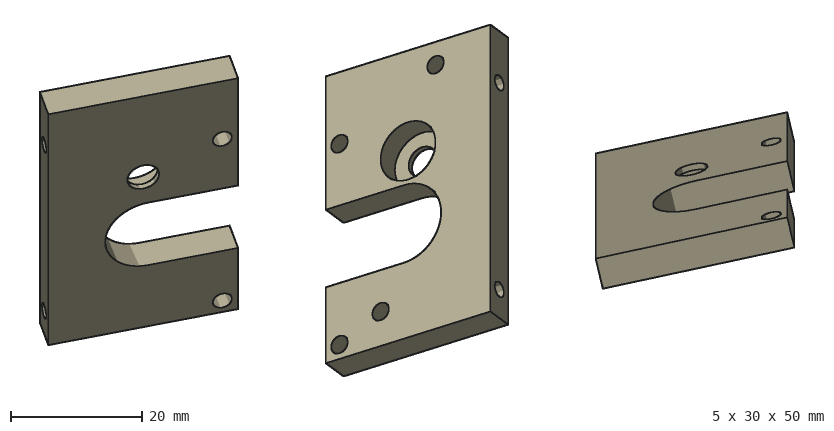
import cadquery as cq

thickness = 5.0
width = 30.0
height = 50.0
front_face_x = -thickness / 2
edge_face_y = -width / 2

slot_width = 13.5
slot_radius = slot_width / 2
slot_z = -5.0
slot_bottom_y = -6.0
slot_center_y = slot_bottom_y + slot_radius

bore_y = 0.0
bore_z = 7.5
bore_diameter = 5.0
counterbore_diameter = 10.0
counterbore_depth = 4.0

face_hole_diameter = 3.0
through_hole_centers = [(12.5, 12.5), (12.5, -22.5)]
blind_hole_centers = [(-5.0, 21.0), (5.0, -19.0)]
blind_hole_depth = 4.0

edge_hole_diameter = 2.5
edge_hole_heights = [16.0, -20.0]
edge_hole_depth = 8.0


def face_hole(y, z, diameter, depth):
    """Cylinder running in +X from the front face."""
    return cq.Workplane(
        cq.Solid.makeCylinder(
            diameter / 2, depth, cq.Vector(front_face_x, y, z), cq.Vector(1, 0, 0)
        )
    )


def edge_hole(z):
    """Cylinder running in +Y from the -Y edge."""
    return cq.Workplane(
        cq.Solid.makeCylinder(
            edge_hole_diameter / 2, edge_hole_depth, cq.Vector(0, edge_face_y, z), cq.Vector(0, 1, 0)
        )
    )


def slot():
    """U-shaped cutter from the +Y edge through the full thickness."""
    open_end_y = width / 2
    return (
        cq.Workplane("YZ", origin=(front_face_x, 0, 0))
        .moveTo(open_end_y, slot_z + slot_radius)
        .lineTo(slot_center_y, slot_z + slot_radius)
        .threePointArc((slot_bottom_y, slot_z), (slot_center_y, slot_z - slot_radius))
        .lineTo(open_end_y, slot_z - slot_radius)
        .close()
        .extrude(thickness)
    )


result = cq.Workplane("XY").box(thickness, width, height)
result = result.cut(slot())

result = result.cut(face_hole(bore_y, bore_z, bore_diameter, thickness))
result = result.cut(face_hole(bore_y, bore_z, counterbore_diameter, counterbore_depth))

for y, z in through_hole_centers:
    result = result.cut(face_hole(y, z, face_hole_diameter, thickness))
for y, z in blind_hole_centers:
    result = result.cut(face_hole(y, z, face_hole_diameter, blind_hole_depth))
for z in edge_hole_heights:
    result = result.cut(edge_hole(z))